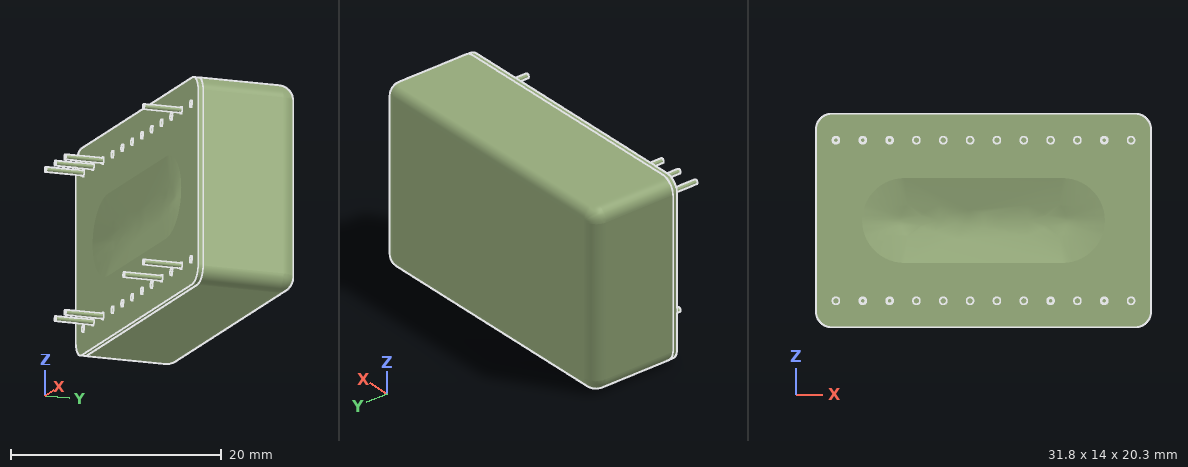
import cadquery as cq

LENGTH = 31.8
HEIGHT = 20.3
BLOCK_DEPTH = 10.18
CASE_CORNER_RADIUS = 1.53
CASE_BACK_RADIUS = 1.5
CASE_WALL = 0.5

FLANGE_THICKNESS = 0.5
FLANGE_CORNER_RADIUS = 1.6

DISH_LENGTH = 23.02
DISH_HEIGHT = 8.05
DISH_DEPTH = 0.9
DISH_END_DEPTH = 0.57
DISH_END_INSET = 2.8

SLOTS_PER_ROW = 12
SLOT_PITCH = 2.55
ROW_SPACING = 15.23
RECESS_DIAMETER = 0.67
RECESS_DEPTH = 0.2

PIN_DIAMETER = 0.5
PIN_LENGTH = 3.82
UPPER_PIN_SLOTS = (1, 2, 3, 11)
LOWER_PIN_SLOTS = (2, 3, 9, 11)


def plane_at(y):
    """XZ workplane at the given Y; positive extrusion runs toward -Y."""
    return cq.Workplane("XZ", origin=(0, y, 0))


def slab(length, height, y_front, y_back, corner_radius):
    """Centred plate between two Y positions, with rounded corners."""
    block = plane_at(y_back).rect(length, height).extrude(y_back - y_front)
    return block.edges("|Y").fillet(corner_radius)


def case_block(inset):
    """Case outline from the flange to the back, with a rounded back, moved inward by `inset`."""
    block = slab(
        LENGTH - 2 * inset,
        HEIGHT - 2 * inset,
        FLANGE_THICKNESS,
        BLOCK_DEPTH - inset,
        CASE_CORNER_RADIUS - inset,
    )
    return block.faces(">Y").edges().fillet(CASE_BACK_RADIUS - inset)


def slot_points(slots, z):
    """Points at the numbered slots of the row at height z."""
    middle_slot = (SLOTS_PER_ROW + 1) / 2
    return [((slot - middle_slot) * SLOT_PITCH, z) for slot in slots]


def row_points(upper_slots, lower_slots):
    """Points at the numbered slots of both rows."""
    row_z = ROW_SPACING / 2
    return slot_points(upper_slots, row_z) + slot_points(lower_slots, -row_z)


def make_dish():
    """Cutter for the dish: a slot-shaped mouth closed by one smooth bowl surface."""
    end_radius = DISH_HEIGHT / 2
    dish_end = DISH_LENGTH / 2
    arc_x = dish_end - end_radius
    rim = (
        plane_at(0)
        .moveTo(-arc_x, end_radius)
        .lineTo(arc_x, end_radius)
        .threePointArc((dish_end, 0), (arc_x, -end_radius))
        .lineTo(-arc_x, -end_radius)
        .threePointArc((-dish_end, 0), (-arc_x, end_radius))
        .close()
        .val()
    )
    low_x = dish_end - DISH_END_INSET
    bowl_points = [
        cq.Vector(0, DISH_DEPTH, 0),
        cq.Vector(-low_x, DISH_END_DEPTH, 0),
        cq.Vector(low_x, DISH_END_DEPTH, 0),
    ]
    mouth = cq.Face.makeFromWires(rim)
    bowl = cq.Face.makeNSidedSurface(rim.Edges(), bowl_points, degree=2)
    return cq.Workplane(cq.Solid.makeSolid(cq.Shell.makeShell([mouth, bowl])))


def make_recesses():
    """Cutters for the round recesses at every slot."""
    every_slot = range(1, SLOTS_PER_ROW + 1)
    points = row_points(every_slot, every_slot)
    return plane_at(RECESS_DEPTH).pushPoints(points).circle(RECESS_DIAMETER / 2).extrude(RECESS_DEPTH)


def make_pins():
    """Pins that rise from the recess floors."""
    points = row_points(UPPER_PIN_SLOTS, LOWER_PIN_SLOTS)
    pin_sketch = plane_at(RECESS_DEPTH).pushPoints(points).circle(PIN_DIAMETER / 2)
    return pin_sketch.extrude(RECESS_DEPTH + PIN_LENGTH)


def make_case():
    """Shell with one wall thickness, open at the front."""
    return case_block(0).cut(case_block(CASE_WALL))


def make_base():
    """Flange and plug with the dish, the recesses and the pins."""
    flange = slab(LENGTH, HEIGHT, 0, FLANGE_THICKNESS, FLANGE_CORNER_RADIUS)
    blank = flange.union(case_block(CASE_WALL))
    return blank.cut(make_dish()).cut(make_recesses()).union(make_pins())


case = make_case()
base = make_base()

result = cq.Compound.makeCompound([case.solids().val(), base.solids().val()])